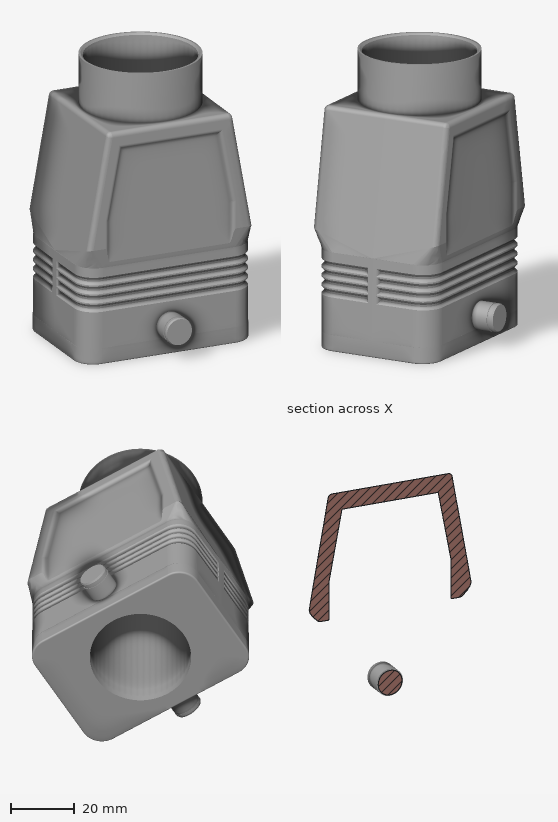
import cadquery as cq
import math

total_height = 93.75
base_x = 42.7
base_y = 60.0
pin_span = 58.0

base_corner = 6.75
bottom_rounding = 0.6
band_top = 5.4
band_inset = 0.1
base_top = 32.25
base_top_y = 59.7
base_crease = 0.2

shoulder_top = 38.9
hood_top = 77.25
hood_x = 45.2
hood_slope = 10.2
hood_crease = 0.2
hood_rounding = 1.6

groove_count = 4
groove_pitch = 3.0
groove_mouth = 2.5
groove_depth = 0.9
groove_middle = 23.3
fin_width = 3.0

panel_top = 72.2
panel_bend = 48.0
panel_half_top = 17.5
panel_half_bottom = 22.1
panel_depth = 0.9
panel_wall_lean = 45.0
panel_rounding = 1.3

collar_radius = 19.5
socket_radius = 18.2
socket_floor = 78.9
rim_chamfer = 0.7
bore_radius = 15.9

pin_radius = 4.6
pin_height = 9.75
pin_tip_length = 0.6
pin_tip_chamfer = 0.3
pin_groove_start = 1.4
pin_groove_width = 0.7
pin_groove_depth = 0.2
pin_neck_width = 0.5
pin_neck_depth = 0.4

overlap = 1.9


def creased_outline(size_x, size_y, crease):
    """Corners of a rectangle whose end sides rise to a crease at mid-width."""
    half_x = size_x / 2
    crease_y = size_y / 2
    side_y = crease_y - crease
    return [
        (half_x, -side_y),
        (half_x, side_y),
        (0, crease_y),
        (-half_x, side_y),
        (-half_x, -side_y),
        (0, -crease_y),
    ]


def creased_prism(size_x, size_y, crease, corner, z, height):
    """Upright prism on a creased outline with rounded corners."""
    outline = creased_outline(size_x, size_y, crease)
    sketch = cq.Sketch().polygon(outline + outline[:1]).vertices("<X or >X").fillet(corner)
    return cq.Workplane("XY").workplane(offset=z).placeSketch(sketch).extrude(height)


def section_loft(lower, upper):
    """Ruled solid between two (size_x, size_y, crease, corner, z) sections."""
    wires = []
    for section in (lower, upper):
        prism = creased_prism(*section, height=overlap)
        wires.append(prism.faces("<Z").wires().val())
    return cq.Workplane(cq.Solid.makeLoft(wires, True))


def hood_crease_y(z):
    """Half width in Y at the creased middle of the hood."""
    return base_top_y / 2 - (z - base_top) * math.tan(math.radians(hood_slope))


def make_base():
    band_x = base_x - 2 * band_inset
    band = creased_prism(band_x, base_y, 0, base_corner, 0, band_top)
    band = band.faces("<Z").edges().fillet(bottom_rounding)
    wall = section_loft(
        (base_x, base_y, base_crease, base_corner, band_top),
        (base_x, base_top_y, base_crease, base_corner, base_top),
    )
    return band.union(wall)


def make_grip_grooves():
    """Rings that leave a waisted core, interrupted by the fin on each end face."""
    wall_share = (groove_middle - band_top) / (base_top - band_top)
    wall_y = base_y + wall_share * (base_top_y - base_y)
    mouth = (base_x, wall_y, base_crease, base_corner)
    waist = (
        base_x - 2 * groove_depth,
        wall_y - 2 * groove_depth,
        base_crease,
        base_corner - groove_depth,
    )
    flank = groove_depth
    floor = groove_mouth - 2 * flank

    half_fin = fin_width / 2
    inner_y = wall_y / 2 - groove_depth
    outer_y = wall_y / 2 + overlap
    fin = (
        cq.Workplane("XY")
        .moveTo(-half_fin - groove_depth, inner_y)
        .lineTo(-half_fin, inner_y + groove_depth)
        .lineTo(-half_fin, outer_y)
        .lineTo(half_fin, outer_y)
        .lineTo(half_fin, inner_y + groove_depth)
        .lineTo(half_fin + groove_depth, inner_y)
        .close()
        .extrude(base_top)
    )

    first_middle = groove_middle - (groove_count - 1) / 2 * groove_pitch
    rings = cq.Workplane("XY")
    for index in range(groove_count):
        bottom = first_middle + index * groove_pitch - groove_mouth / 2
        top = bottom + groove_mouth
        ring = (
            cq.Workplane("XY")
            .box(base_x + overlap, base_y + overlap, groove_mouth, centered=(True, True, False))
            .translate((0, 0, bottom))
            .cut(section_loft((*mouth, bottom), (*waist, bottom + flank)))
            .cut(creased_prism(*waist, bottom + flank, floor))
            .cut(section_loft((*waist, top - flank), (*mouth, top)))
        )
        rings = rings.union(ring)
    return rings.cut(fin).cut(fin.mirror("XZ"))


def make_hood():
    """Creased wedge, kept above a V that comes down to the base at mid-width."""
    half_x = hood_x / 2
    wires = []
    for z in (base_top, hood_top):
        outline = creased_outline(hood_x, 2 * hood_crease_y(z), hood_crease)
        corners = [cq.Vector(x, y, z) for x, y in outline]
        wires.append(cq.Wire.makePolygon(corners, close=True))
    hood = cq.Workplane(cq.Solid.makeLoft(wires, True))
    hood = hood.faces(">X or <X or >Z").edges("not <Z").fillet(hood_rounding)

    v_limit = (
        cq.Workplane("XZ")
        .moveTo(0, base_top)
        .lineTo(half_x, shoulder_top)
        .lineTo(half_x, hood_top)
        .lineTo(-half_x, hood_top)
        .lineTo(-half_x, shoulder_top)
        .close()
        .extrude(base_y / 2, both=True)
    )
    return hood.intersect(v_limit)


def make_shoulder():
    """Transition whose corners blend from the base rounding to the hood rounding."""
    hood_y = 2 * (hood_crease_y(shoulder_top) - hood_crease)
    return section_loft(
        (base_x, base_top_y - 2 * base_crease, 0, base_corner, base_top),
        (hood_x, hood_y, 0, hood_rounding, shoulder_top),
    )


def make_panel_recess():
    """Recess on the +X side, with both edges of its sloping wall rounded."""
    surface = hood_x / 2
    outline = [
        (-panel_half_bottom, base_top - overlap),
        (panel_half_bottom, base_top - overlap),
        (panel_half_bottom, panel_bend),
        (panel_half_top, panel_top),
        (-panel_half_top, panel_top),
        (-panel_half_bottom, panel_bend),
    ]
    slab = (
        cq.Workplane("YZ", origin=(surface, 0, 0))
        .rect(base_y, 2 * total_height)
        .extrude(-2 * panel_depth)
    )
    pocket = (
        cq.Workplane("YZ", origin=(surface, 0, 0))
        .polyline(outline)
        .close()
        .extrude(-panel_depth, taper=panel_wall_lean)
        .faces("<X")
        .edges("not <Z")
        .fillet(panel_rounding)
    )
    frame = slab.cut(pocket)

    lip = cq.selectors.BoxSelector(
        (surface - panel_depth, -base_y / 2 + overlap, base_top),
        (surface + panel_depth, base_y / 2 - overlap, hood_top),
    )
    frame = frame.faces(">X").edges(lip).fillet(panel_rounding)
    return slab.cut(frame)


def make_collar():
    bottom = hood_top - overlap
    return (
        cq.Workplane("XY")
        .workplane(offset=bottom)
        .circle(collar_radius)
        .extrude(total_height - bottom)
    )


def make_bore():
    bore = cq.Workplane("XY").circle(bore_radius).extrude(total_height)
    socket = (
        cq.Workplane("XY")
        .workplane(offset=socket_floor)
        .circle(socket_radius)
        .extrude(total_height - socket_floor)
    )
    rim = (
        cq.Workplane("XY")
        .workplane(offset=total_height - rim_chamfer)
        .circle(socket_radius)
        .workplane(offset=rim_chamfer)
        .circle(socket_radius + rim_chamfer)
        .loft()
    )
    return bore.union(socket).union(rim)


def make_pin():
    """Turned pin on the +X side, drawn as a half profile about its axis."""
    wall = base_x / 2
    tip = pin_span / 2
    neck_end = wall + pin_neck_width
    neck_radius = pin_radius - pin_neck_depth
    groove_end = tip - pin_groove_start
    groove_start = groove_end - pin_groove_width
    groove_radius = pin_radius - pin_groove_depth
    profile = [
        (wall - overlap, 0),
        (wall - overlap, neck_radius),
        (neck_end, neck_radius),
        (neck_end, pin_radius),
        (groove_start, pin_radius),
        (groove_start, groove_radius),
        (groove_end, groove_radius),
        (groove_end, pin_radius),
        (tip - pin_tip_length, pin_radius),
        (tip, pin_radius - pin_tip_chamfer),
        (tip, 0),
    ]
    pin = cq.Workplane("XZ").polyline(profile).close().revolve(360, (0, 0, 0), (1, 0, 0))
    return pin.translate((0, 0, pin_height))


recess = make_panel_recess()
pin = make_pin()

result = (
    make_base()
    .cut(make_grip_grooves())
    .union(make_shoulder())
    .union(make_hood())
    .cut(recess)
    .cut(recess.mirror("YZ"))
    .union(make_collar())
    .cut(make_bore())
    .union(pin)
    .union(pin.mirror("YZ"))
)